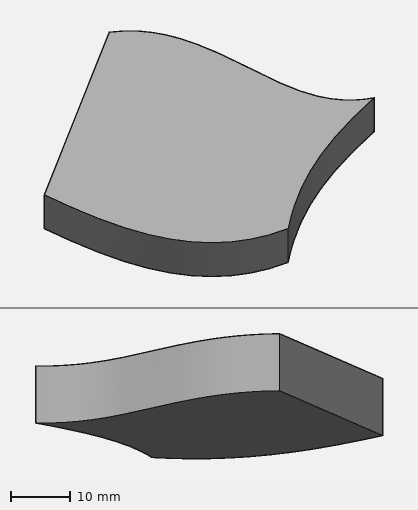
import cadquery as cq

thickness = 10.0
left_height = 35.43

lower_left = (0, 0)
upper_left = (0, left_height)
upper_right = (46.85, 36.45)
lower_right = (41.42, 6.2)

crest = (11.35, 37.9)
upper_middle = (24.2, 35.9)
trough = (37.7, 33.8)

right_controls = [(41.25, 24.0), (40.0, 15.45)]
lower_controls = [(29.5, -5.1), (13.9, -2.95)]

outline = (
    cq.Workplane("XY")
    .moveTo(*lower_left)
    .lineTo(*upper_left)
    .spline([crest, upper_middle, trough, upper_right], includeCurrent=True)
    .bezier([upper_right, *right_controls, lower_right])
    .bezier([lower_right, *lower_controls, lower_left])
    .close()
)

result = outline.extrude(thickness)